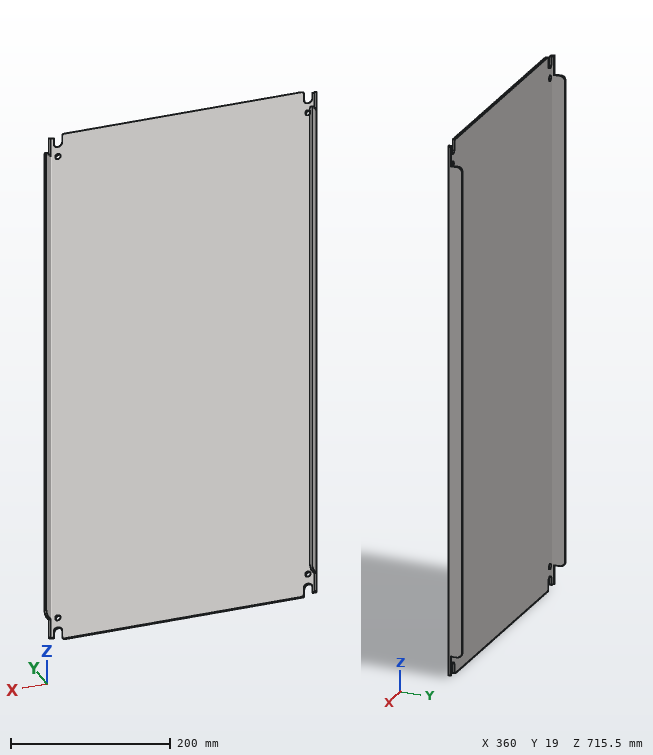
import cadquery as cq

width = 360.0
height = 715.5
depth = 19.0
thickness = 3.0
bend_inner_radius = 1.0
bend_outer_radius = bend_inner_radius + thickness

margin_height = 708.0
flange_height = 657.0
flange_corner_radius = 6.5
flange_root_y = 4.0

hole_x = 168.0
hole_z = 327.0
hole_diameter = 7.0
notch_width = 11.5
notch_floor_z = 340.5
panel_corner_radius = 3.0

center_width = 2 * (hole_x - notch_width / 2)


def make_channel():
    """Bent sheet with its face at Y = 0 and flanges pointing toward +Y."""
    outer = (
        cq.Workplane("XY")
        .rect(width, 2 * depth)
        .extrude(margin_height / 2, both=True)
        .edges("|Z and <Y")
        .fillet(bend_outer_radius)
        .translate((0, depth, 0))
    )
    inner = (
        cq.Workplane("XY")
        .rect(width - 2 * thickness, 2 * depth)
        .extrude(margin_height / 2, both=True)
        .edges("|Z and <Y")
        .fillet(bend_inner_radius)
        .translate((0, depth + thickness, 0))
    )
    envelope = cq.Workplane("XY").box(
        width, depth, margin_height, centered=(True, False, True)
    )
    return outer.cut(inner).intersect(envelope)


def make_center_panel():
    """Taller central sheet with rounded outer corners."""
    return (
        cq.Workplane("XY")
        .box(center_width, thickness, height, centered=(True, False, True))
        .edges("|Y")
        .fillet(panel_corner_radius)
    )


def trim_flanges(channel):
    """Shorten the straight flanges and round their free corners."""
    flange_envelope = (
        cq.Workplane("XY")
        .box(width, depth - flange_root_y, flange_height, centered=(True, False, True))
        .edges("|X and >Y")
        .fillet(flange_corner_radius)
        .translate((0, flange_root_y, 0))
    )
    margin_envelope = cq.Workplane("XY").box(
        width, flange_root_y, margin_height, centered=(True, False, True)
    )
    return channel.intersect(flange_envelope.union(margin_envelope))


def make_notch(x, side):
    """Round-bottomed slot opening through the upper or lower edge."""
    radius = notch_width / 2
    arc_z = side * (notch_floor_z + radius)
    floor_z = side * notch_floor_z
    open_z = side * height / 2
    return (
        cq.Workplane("XZ")
        .moveTo(x - radius, open_z)
        .lineTo(x - radius, arc_z)
        .threePointArc((x, floor_z), (x + radius, arc_z))
        .lineTo(x + radius, open_z)
        .close()
        .extrude(-thickness)
    )


result = trim_flanges(make_channel()).union(make_center_panel())

for x in (-hole_x, hole_x):
    for side in (-1, 1):
        result = result.cut(make_notch(x, side))
        hole = (
            cq.Workplane("XZ")
            .center(x, side * hole_z)
            .circle(hole_diameter / 2)
            .extrude(-thickness)
        )
        result = result.cut(hole)